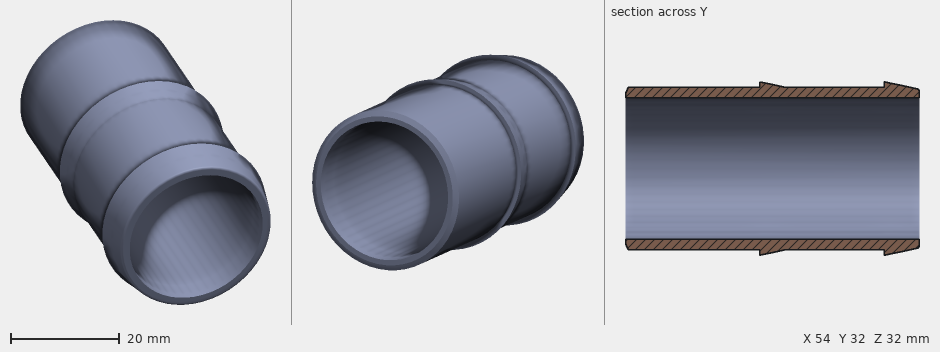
import cadquery as cq
import math

length = 54.0
tube_radius = 15.0
bore_radius = 13.0
barb_radius = 16.01
barb_angle = 12.0

middle_barb_x = 24.55
end_barb_x = 47.5

lead_in_length = 0.5
lead_in_depth = 1.0
tip_fillet = 0.5

barb_slope = math.tan(math.radians(barb_angle))
middle_barb_length = (barb_radius - tube_radius) / barb_slope
tip_radius = barb_radius - (length - end_barb_x) * barb_slope

half_section = [
    (0, bore_radius),
    (0, tube_radius - lead_in_depth),
    (lead_in_length, tube_radius),
    (middle_barb_x, tube_radius),
    (middle_barb_x, barb_radius),
    (middle_barb_x + middle_barb_length, tube_radius),
    (end_barb_x, tube_radius),
    (end_barb_x, barb_radius),
    (length, tip_radius),
    (length, bore_radius),
]

connector = (
    cq.Workplane("XY")
    .polyline(half_section)
    .close()
    .revolve(360, (0, 0, 0), (1, 0, 0))
)

outer_tip_edge = connector.faces(">X").edges(cq.selectors.RadiusNthSelector(-1))
result = outer_tip_edge.fillet(tip_fillet)